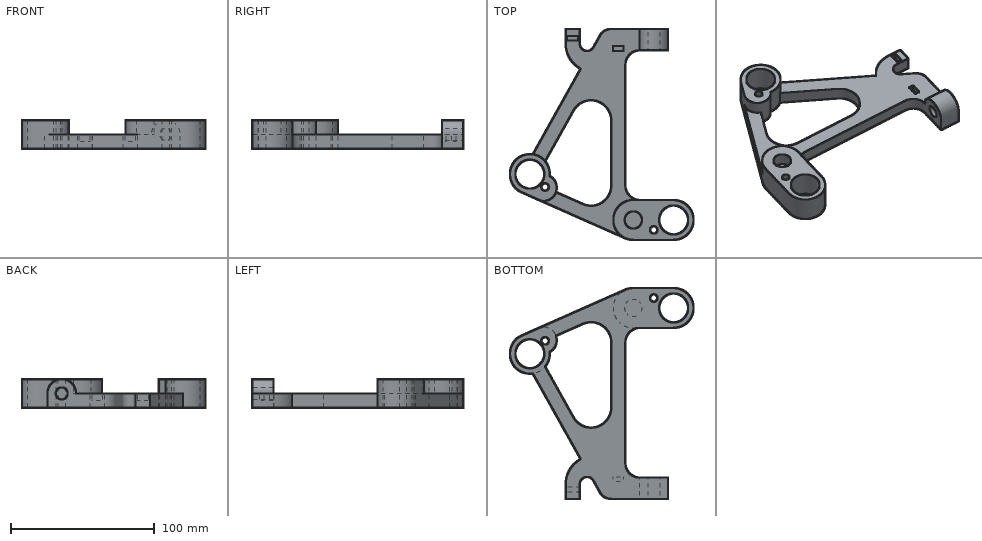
import cadquery as cq
import math

plate_height = 10.0
full_height = 2 * plate_height

boss_radius = 14.0
bore_diameter = 20.0
ring_x, ring_y = boss_radius, 45.9
tab_y = boss_radius
tab_bore_x = 114.0
tab_pocket_x = 86.0
tab_pocket_diameter = 12.0
tab_pocket_depth = plate_height
tab_pin_x, tab_pin_y = 100.3, 7.0
tab_pin_diameter = 5.0
lobe_x, lobe_y = 23.5, 36.5
ring_pin_x, ring_pin_y = 24.5, 36.9
ring_pin_diameter = 5.0

bar_width = 10.0
spine_right = 80.5
spine_left = spine_right - bar_width
brace_angle = 29.2
window_radius = boss_radius
tab_fillet = 10.0

part_length = 147.0
head_bottom = 132.0
head_fillet = 10.0
lug_right = 110.2
lug_diameter = 20.0
lug_hole_diameter = 8.4
hook_left = 38.8
hook_center_y = 136.7
hook_outer_radius = 20.0
throat_radius = 5.0
head_corner_radius = 8.8

slot_length = 7.4
slot_width = 3.2
slot_depth = 5.0
slot_centers = [(43.7, 140.4), (75.4, 133.3)]

brace = math.radians(brace_angle)
along_x, along_y = math.sin(brace), math.cos(brace)
right_x, right_y = along_y, -along_x

lower_slope = (tab_y - ring_y) / (tab_pocket_x - ring_x)
lower_angle = math.atan(lower_slope)
normal_x, normal_y = -math.sin(lower_angle), math.cos(lower_angle)

lobe_radius = boss_radius + (lobe_x - ring_x) * normal_x + (lobe_y - ring_y) * normal_y


def brace_x(y, offset):
    """X at height y on the line parallel to the brace axis, offset to its right."""
    return ring_x + (y - ring_y) * math.tan(brace) + offset / math.cos(brace)


def lower_y(x, offset):
    """Y at x on the line parallel to the lower bar axis, offset upward."""
    return ring_y + (x - ring_x) * lower_slope + offset / math.cos(lower_angle)


def disc(x, y, radius, height):
    return cq.Workplane("XY").center(x, y).circle(radius).extrude(height)


def make_frame():
    """Triangular frame between the ring, the tab and the head."""
    half = bar_width / 2
    apex_y = hook_center_y - throat_radius
    outer = (
        cq.Workplane("XY")
        .moveTo(ring_x - boss_radius * normal_x, ring_y - boss_radius * normal_y)
        .lineTo(tab_pocket_x - boss_radius * normal_x, tab_y - boss_radius * normal_y)
        .lineTo(tab_pocket_x, tab_y)
        .lineTo(spine_right, tab_y)
        .lineTo(spine_right, apex_y)
        .lineTo(brace_x(apex_y, -half), apex_y)
        .lineTo(ring_x - half * right_x, ring_y - half * right_y)
        .lineTo(ring_x, ring_y)
        .close()
        .extrude(plate_height)
    )
    lower_offset = bar_width - boss_radius
    corner_run = (lower_offset - half * (right_x * normal_x + right_y * normal_y)) / (
        along_x * normal_x + along_y * normal_y
    )
    corner = (
        ring_x + half * right_x + corner_run * along_x,
        ring_y + half * right_y + corner_run * along_y,
    )
    top_y = ring_y + (spine_left - ring_x - half / math.cos(brace)) / math.tan(brace)
    window = (
        cq.Workplane("XY")
        .polyline([corner, (spine_left, lower_y(spine_left, lower_offset)), (spine_left, top_y)])
        .close()
        .extrude(plate_height)
        .edges("|Z and (>X or >Y)")
        .fillet(window_radius)
    )
    return outer.cut(window)


def make_head():
    """Plate joining the hook on the left to the pivot lug on the right."""
    throat_left = hook_left + bar_width
    throat_x = throat_left + throat_radius
    throat_end_x = throat_x + throat_radius * right_x
    throat_end_y = hook_center_y + throat_radius * right_y
    corner_y = part_length - head_corner_radius
    slant_end_y = corner_y - head_corner_radius * right_y
    slant_end_x = throat_end_x + (slant_end_y - throat_end_y) * math.tan(brace)
    corner_x = slant_end_x + head_corner_radius * right_x
    half_turn = math.radians(90 + (90 - brace_angle) / 2)
    corner_mid = (
        corner_x + head_corner_radius * math.cos(half_turn),
        corner_y + head_corner_radius * math.sin(half_turn),
    )
    hook_center_x = hook_left + hook_outer_radius
    gap_x, gap_y = hook_center_x - ring_x, hook_center_y - ring_y
    brace_distance = gap_x * right_x + gap_y * right_y + bar_width / 2
    hook_end = math.pi - brace + math.acos(brace_distance / hook_outer_radius)
    hook_middle = (math.pi + hook_end) / 2

    def hook_point(angle):
        return (
            hook_center_x + hook_outer_radius * math.cos(angle),
            hook_center_y + hook_outer_radius * math.sin(angle),
        )

    fillet_y = head_bottom - head_fillet
    fillet_x = spine_right + head_fillet
    diagonal = head_fillet * math.sqrt(0.5)
    return (
        cq.Workplane("XY")
        .moveTo(hook_left, hook_center_y)
        .lineTo(hook_left, part_length)
        .lineTo(throat_left, part_length)
        .lineTo(throat_left, hook_center_y)
        .threePointArc((throat_x, hook_center_y - throat_radius), (throat_end_x, throat_end_y))
        .lineTo(slant_end_x, slant_end_y)
        .threePointArc(corner_mid, (corner_x, part_length))
        .lineTo(lug_right, part_length)
        .lineTo(lug_right, head_bottom)
        .lineTo(fillet_x, head_bottom)
        .threePointArc((fillet_x - diagonal, fillet_y + diagonal), (spine_right, fillet_y))
        .lineTo(*hook_point(hook_end))
        .threePointArc(hook_point(hook_middle), (hook_left, hook_center_y))
        .close()
        .extrude(plate_height)
    )


def lug_cylinder(diameter):
    """Cylinder along Y on the pivot axis, as long as the head is deep."""
    return (
        cq.Workplane("XZ", origin=(lug_right - lug_diameter / 2, part_length, plate_height))
        .circle(diameter / 2)
        .extrude(part_length - head_bottom)
    )


def make_ring():
    """Full-height ring with a pin lobe, closed off by the lower bar's outer edge."""
    web = (
        cq.Workplane("XY")
        .polyline([
            (ring_x, ring_y),
            (ring_x - boss_radius * normal_x, ring_y - boss_radius * normal_y),
            (lobe_x - lobe_radius * normal_x, lobe_y - lobe_radius * normal_y),
            (lobe_x, lobe_y),
        ])
        .close()
        .extrude(full_height)
    )
    ring = disc(ring_x, ring_y, boss_radius, full_height)
    return ring.union(disc(lobe_x, lobe_y, lobe_radius, full_height)).union(web)


def make_tab():
    """Full-height rounded tab."""
    span = tab_bore_x - tab_pocket_x
    return (
        cq.Workplane("XY")
        .center(tab_pocket_x + span / 2, tab_y)
        .slot2D(span + 2 * boss_radius, 2 * boss_radius)
        .extrude(full_height)
    )


def make_tab_fillet():
    """Concave fillet between the spine and the tab's upper side."""
    tab_top = tab_y + boss_radius
    return (
        cq.Workplane("XY")
        .moveTo(spine_right, tab_y)
        .lineTo(spine_right, tab_top + tab_fillet)
        .radiusArc((spine_right + tab_fillet, tab_top), -tab_fillet)
        .lineTo(spine_right + tab_fillet, tab_y)
        .close()
        .extrude(plate_height)
    )


body = make_frame().union(make_head()).union(lug_cylinder(lug_diameter))
body = body.union(make_ring()).union(make_tab()).union(make_tab_fillet())

for x, y, diameter in [
    (ring_x, ring_y, bore_diameter),
    (tab_bore_x, tab_y, bore_diameter),
    (ring_pin_x, ring_pin_y, ring_pin_diameter),
    (tab_pin_x, tab_pin_y, tab_pin_diameter),
]:
    body = body.cut(disc(x, y, diameter / 2, full_height))

body = body.cut(lug_cylinder(lug_hole_diameter))

pocket = disc(tab_pocket_x, tab_y, tab_pocket_diameter / 2, tab_pocket_depth)
body = body.cut(pocket.translate((0, 0, full_height - tab_pocket_depth)))

slots = (
    cq.Workplane("XY", origin=(0, 0, plate_height))
    .pushPoints(slot_centers)
    .rect(slot_length, slot_width)
    .extrude(-slot_depth)
)
result = body.cut(slots)